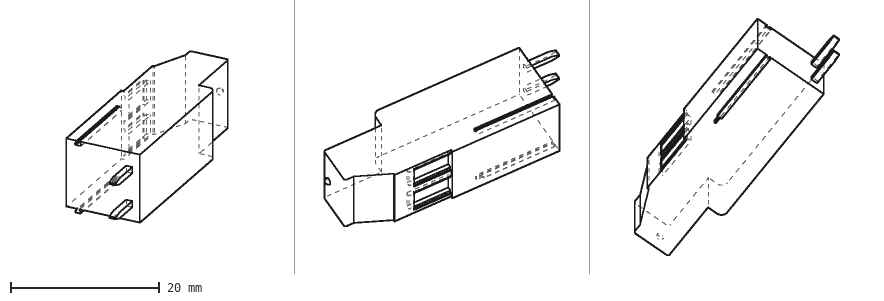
import cadquery as cq

pitch = 5.08
pole_count = 2
body_width = 11.1
body_length = 31.5
body_height = pole_count * pitch

side_step = 0.35
side_step_y = 16.5
ramp_start_x = 0.6
ramp_start_y = 25.2
ramp_end_y = 30.1
nose_left_x = 2.8
nose_right_x = 8.6
shoulder_y = 22.6
shoulder_radius = 1.0
nose_radius = 0.3

pin_x = 9.5
pin_width = 0.95
pin_height = 0.9
pin_length = 5.0
pin_taper_length = 1.1
pin_tip_height = 0.25

window_end_y = 22.2
window_height = 3.8
window_depth = 0.2
recess_height = 2.9
recess_depth = 0.8
recess_undercut = 0.7

groove_x = 1.8
groove_length = 12.0
groove_mouth = 0.4
groove_width = 0.95
groove_floor = 0.75
groove_widest_depth = 0.5
groove_depth = 0.65

rail_x = 1.78
rail_length = 10.9
rail_neck = 0.35
rail_width = 0.85
rail_foot = 0.7
rail_widest_depth = 0.42
rail_depth = 0.6
rail_stop_width = 0.25
rail_stop_length = 1.0

bump_x = 7.25
bump_radius = 0.5


def pole_heights():
    """Z of the middle of each pole."""
    return [(index + 0.5) * pitch for index in range(pole_count)]


def box_between(low, high):
    """Box spanning two opposite corners."""
    size = [b - a for a, b in zip(low, high)]
    return cq.Workplane("XY").box(*size, centered=False).translate(low)


def make_housing():
    outline = [
        (0, 0),
        (body_width, 0),
        (body_width, shoulder_y),
        (nose_right_x, shoulder_y),
        (nose_right_x, body_length),
        (nose_left_x, body_length),
        (nose_left_x, ramp_end_y),
        (ramp_start_x, ramp_start_y),
        (side_step, ramp_start_y),
        (side_step, side_step_y),
        (0, side_step_y),
    ]
    housing = cq.Workplane("XY").polyline(outline).close().extrude(body_height)
    shoulder_corner = cq.selectors.NearestToPointSelector((body_width, shoulder_y, body_height / 2))
    housing = housing.edges(shoulder_corner).fillet(shoulder_radius)
    return housing.edges("|Z and >Y").fillet(nose_radius)


def make_pin(z):
    """Pin along -Y whose tip narrows in Z only."""
    half = pin_height / 2
    half_tip = pin_tip_height / 2
    taper_y = pin_taper_length - pin_length
    profile = [
        (0, z - half),
        (taper_y, z - half),
        (-pin_length, z - half_tip),
        (-pin_length, z + half_tip),
        (taper_y, z + half),
        (0, z + half),
    ]
    pin = cq.Workplane("YZ").polyline(profile).close().extrude(pin_width / 2, both=True)
    return pin.translate((pin_x, 0, 0))


def make_window(z):
    """Shallow window with a deeper recess that runs on behind its +Y end."""
    window = box_between(
        (0, side_step_y, z - window_height / 2),
        (side_step + window_depth, window_end_y, z + window_height / 2),
    )
    recess = box_between(
        (side_step + window_depth, side_step_y, z - recess_height / 2),
        (side_step + recess_depth, window_end_y + recess_undercut, z + recess_height / 2),
    )
    return window.union(recess)


def make_dovetail(x, top_z, widths, depths, length):
    """Bar along +Y that widens below top_z, then narrows again to its foot."""
    right = [(x + width / 2, top_z - depth) for width, depth in zip(widths, depths)]
    left = [(x - width / 2, top_z - depth) for width, depth in zip(widths, depths)]
    section = right + left[::-1]
    return cq.Workplane("XZ").polyline(section).close().extrude(-length)


def make_groove():
    widths = (groove_mouth, groove_width, groove_floor)
    depths = (0, groove_widest_depth, groove_depth)
    return make_dovetail(groove_x, body_height, widths, depths, groove_length)


def make_rail():
    widths = (rail_neck, rail_width, rail_foot)
    depths = (0, rail_widest_depth, rail_depth)
    rail = make_dovetail(rail_x, 0, widths, depths, rail_length)
    low = (rail_x - rail_stop_width / 2, rail_length, -rail_depth)
    high = (rail_x + rail_stop_width / 2, rail_length + rail_stop_length, 0)
    return rail.union(box_between(low, high))


def make_bump():
    return cq.Workplane("XY").sphere(bump_radius).translate((bump_x, body_length, body_height / 2))


result = make_housing().cut(make_groove())
for pole_z in pole_heights():
    result = result.cut(make_window(pole_z)).union(make_pin(pole_z))
result = result.union(make_rail()).union(make_bump())